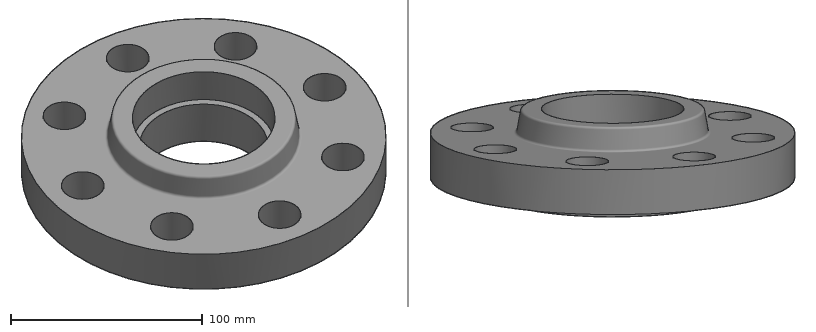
import cadquery as cq
import math

flange_diameter = 190.5
flange_thickness = 23.9

raised_face_diameter = 127.0
raised_face_height = 7.93

hub_height = 12.7
hub_base_diameter = 100.4
hub_taper_angle = 10.0
hub_foot_fillet = 1.5
hub_rim_fillet = 1.5

socket_diameter = 74.4
socket_depth = 19.0
bore_diameter = 67.0

bolt_count = 8
bolt_hole_diameter = 22.2
bolt_circle_diameter = 149.2

plate_bottom = raised_face_height
plate_top = plate_bottom + flange_thickness
hub_top = plate_top + hub_height

hub_base_radius = hub_base_diameter / 2
hub_top_radius = hub_base_radius - hub_height * math.tan(math.radians(hub_taper_angle))


def cylinder(diameter, bottom, top):
    """Solid cylinder on the Z axis between two heights."""
    return cq.Workplane("XY", origin=(0, 0, bottom)).circle(diameter / 2).extrude(top - bottom)


def make_plate_with_hub():
    """Revolved plate and hub, blended at the hub's foot and rounded at its rim."""
    plate_radius = flange_diameter / 2
    body = (
        cq.Workplane("XZ")
        .moveTo(0, plate_bottom)
        .lineTo(plate_radius, plate_bottom)
        .lineTo(plate_radius, plate_top)
        .lineTo(hub_base_radius, plate_top)
        .lineTo(hub_top_radius, hub_top)
        .lineTo(0, hub_top)
        .close()
        .revolve(360, (0, 0, 0), (0, 1, 0))
    )
    rim = body.edges(">Z")
    body = rim.fillet(hub_rim_fillet)
    foot = body.edges(cq.selectors.RadiusNthSelector(-2))
    return foot.fillet(hub_foot_fillet)


def make_raised_face():
    """Low disc that carries the gasket face."""
    return cylinder(raised_face_diameter, 0, plate_bottom)


def make_stepped_bore():
    """Through bore with the wider pipe socket above it."""
    bore = cylinder(bore_diameter, 0, hub_top)
    socket = cylinder(socket_diameter, hub_top - socket_depth, hub_top)
    return bore.union(socket)


def make_bolt_holes():
    """Ring of through holes, the first one on the +X axis."""
    return (
        cq.Workplane("XY", origin=(0, 0, plate_bottom))
        .polarArray(bolt_circle_diameter / 2, 0, 360, bolt_count)
        .circle(bolt_hole_diameter / 2)
        .extrude(flange_thickness)
    )


body = make_plate_with_hub().union(make_raised_face())
result = body.cut(make_stepped_bore()).cut(make_bolt_holes())